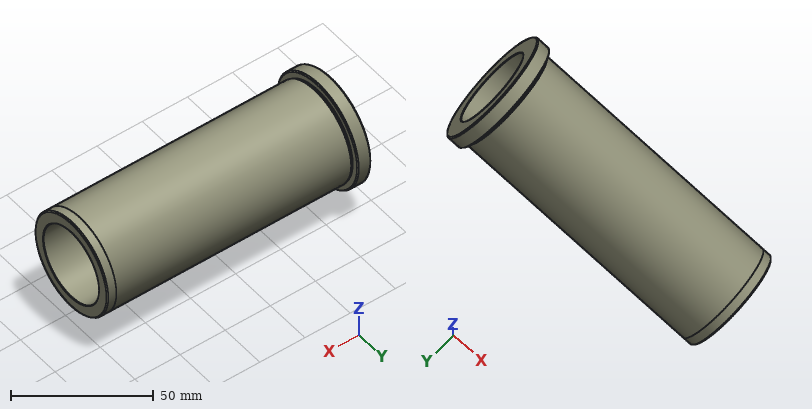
import cadquery as cq

length = 115.0
bore_diameter = 32.0
body_diameter = 42.0
flange_diameter = 47.0
flange_thickness = 6.0
edge_chamfer = 0.5
bore_chamfer = 0.2

groove_depth = 0.3
groove_floor_width = 0.5
groove_ramp_width = 0.6

lead_length = 4.0
lead_reduction = 0.01

bore_radius = bore_diameter / 2
body_radius = body_diameter / 2
flange_radius = flange_diameter / 2
groove_radius = body_radius - groove_depth
lead_radius = body_radius - lead_reduction
groove_floor_end = flange_thickness + groove_floor_width
groove_end = groove_floor_end + groove_ramp_width
lead_start = length - lead_length

half_section = [
    (0, bore_radius + bore_chamfer),
    (0, flange_radius - edge_chamfer),
    (edge_chamfer, flange_radius),
    (flange_thickness - edge_chamfer, flange_radius),
    (flange_thickness, flange_radius - edge_chamfer),
    (flange_thickness, groove_radius),
    (groove_floor_end, groove_radius),
    (groove_end, body_radius),
    (lead_start, body_radius),
    (lead_start, lead_radius),
    (length - edge_chamfer, lead_radius),
    (length, lead_radius - edge_chamfer),
    (length, bore_radius + bore_chamfer),
    (length - bore_chamfer, bore_radius),
    (bore_chamfer, bore_radius),
]

result = (
    cq.Workplane("XY")
    .polyline(half_section)
    .close()
    .revolve(360, (0, 0, 0), (1, 0, 0))
)